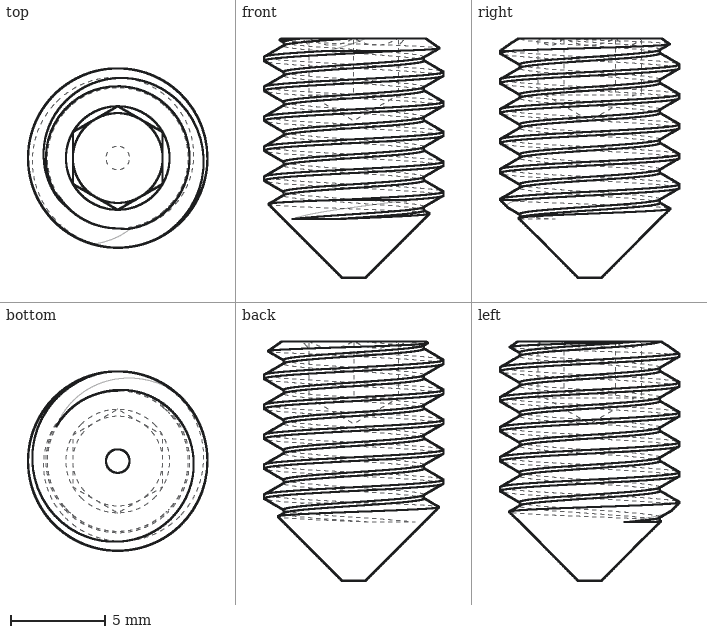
import cadquery as cq
import math

INCH = 25.4

length = INCH / 2
major_radius = INCH * 3 / 8 / 2
tip_radius = 0.625
point_half_angle = 45.0
top_chamfer_radius = 0.8 * major_radius
top_chamfer_angle = 35.0

pitch = INCH / 16
flank_angle = 30.0
crest_width = pitch / 8
root_width = pitch / 8
thread_depth = (pitch - crest_width - root_width) / 2 / math.tan(math.radians(flank_angle))
root_radius = major_radius - thread_depth
groove_start_z = (1 + 5 / 16) * pitch
groove_overshoot = 0.1
groove_turns = 7
rod_overrun = 2 * pitch

hex_across_flats = INCH * 3 / 16
hex_sides = 6
hex_half_angle = 180 / hex_sides
hex_corner_radius = hex_across_flats / 2 / math.cos(math.radians(hex_half_angle))
hex_depth = 3.0
hex_lead_in_angle = 45.0
drill_half_angle = 60.0


def downward_cone(base_radius, half_angle, base_z):
    """Full cone with its base at base_z and its apex below it on the Z axis."""
    height = base_radius / math.tan(math.radians(half_angle))
    solid = cq.Solid.makeCone(
        base_radius, 0, height, cq.Vector(0, 0, base_z), cq.Vector(0, 0, -1)
    )
    return cq.Workplane(obj=solid)


def outer_shape():
    """Turned outer shape: conical point, cylindrical shank and chamfered top."""
    point_height = (major_radius - tip_radius) / math.tan(math.radians(point_half_angle))
    chamfer_height = (major_radius - top_chamfer_radius) * math.tan(math.radians(top_chamfer_angle))
    return (
        cq.Workplane("XZ")
        .moveTo(0, 0)
        .lineTo(tip_radius, 0)
        .lineTo(major_radius, point_height)
        .lineTo(major_radius, length - chamfer_height)
        .lineTo(top_chamfer_radius, length)
        .lineTo(0, length)
        .close()
        .revolve(360, (0, 0, 0), (0, 1, 0))
    )


def thread_groove():
    """Trapezoidal groove swept along a helix, starting outside the point and ending past the top."""
    outer_radius = major_radius + groove_overshoot
    half_root = root_width / 2
    half_mouth = half_root + (outer_radius - root_radius) * math.tan(math.radians(flank_angle))
    helix = cq.Wire.makeHelix(
        pitch, groove_turns * pitch, root_radius, cq.Vector(0, 0, groove_start_z)
    )
    return (
        cq.Workplane("XZ")
        .moveTo(root_radius, groove_start_z - half_root)
        .lineTo(outer_radius, groove_start_z - half_mouth)
        .lineTo(outer_radius, groove_start_z + half_mouth)
        .lineTo(root_radius, groove_start_z + half_root)
        .close()
        .sweep(cq.Workplane(obj=helix), isFrenet=True)
    )


def threaded_rod():
    """Plain rod, longer than the screw at both ends, with the thread groove cut into it."""
    rod = (
        cq.Workplane("XY", origin=(0, 0, -rod_overrun))
        .circle(major_radius)
        .extrude(length + 2 * rod_overrun)
    )
    return rod.cut(thread_groove())


def hex_socket():
    """Hex with corners on the Y axis, conical lead-in at the mouth and a drilled bottom."""
    floor_z = length - hex_depth
    hexagon = (
        cq.Workplane("XY", origin=(0, 0, floor_z))
        .polygon(hex_sides, 2 * hex_corner_radius)
        .extrude(hex_depth)
        .rotate((0, 0, 0), (0, 0, 1), hex_half_angle)
    )
    lead_in = downward_cone(hex_corner_radius, hex_lead_in_angle, length)
    drill_point = downward_cone(hex_across_flats / 2, drill_half_angle, floor_z)
    return hexagon.union(lead_in).union(drill_point)


result = threaded_rod().intersect(outer_shape()).cut(hex_socket())